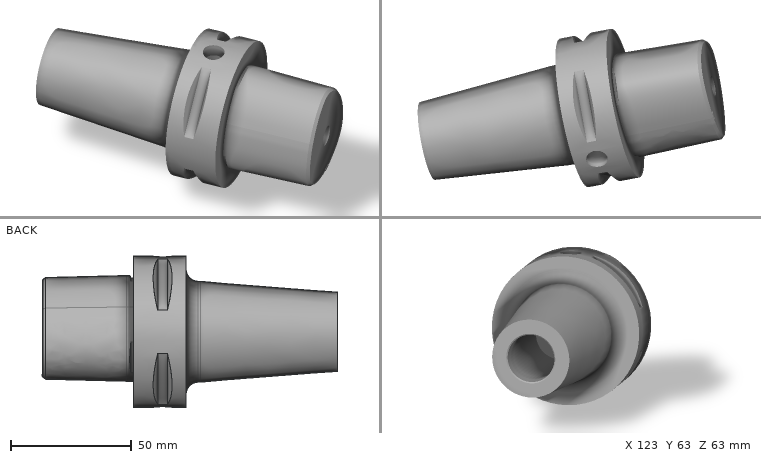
import cadquery as cq
import math


nose_length = 63.0
flange_width = 22.0
total_length = 123.0
pad_thickness = 0.25
flange_back = nose_length + flange_width
shank_end = total_length - pad_thickness

flange_radius = 63.0 / 2
nose_tip_radius = 33.0 / 2
nose_root_radius = 42.0 / 2
nose_fillet = 5.0
nose_collar_length = 1.0
nose_fillet_start = nose_length - nose_fillet
nose_cone_length = nose_fillet_start - nose_collar_length

bore_radius = 20.0 / 2
bore_depth = 52.0
bore_chamfer = 0.5
through_hole_radius = 8.65 / 2

shank_radius = 44.0 / 2
lobe_height = 1.4
lobe_count = 3
seat_length = 1.7
collar_end = 2.8
shank_taper = 1 / 40
end_chamfer_length = 1.3
end_chamfer_depth = 1.0
points_per_lobe = 13

relief_radius = 22.4
relief_length = 1.0
relief_slope_length = 0.7

notch_center = nose_length + 9.8
notch_floor_distance = 27.7
notch_floor_width = 4.0
notch_wall_angle = 27.0
notch_positions = (45, 135, 225, 315)
hole_radius = 9.0 / 2
hole_depth = 6.0
drill_point_angle = 118.0
hole_positions = (0, 180)

pad_width = 3.7
pad_height = 0.8
pad_offset = 18.1


def make_nose_and_flange():
    """Tapered nose, filleted into the cylindrical flange."""
    arc_inset = nose_fillet * math.sin(math.radians(45))
    arc_center_radius = nose_root_radius + nose_fillet
    profile = (
        cq.Workplane("XY")
        .lineTo(0, nose_tip_radius)
        .lineTo(nose_cone_length, nose_root_radius)
        .lineTo(nose_fillet_start, nose_root_radius)
        .threePointArc(
            (nose_fillet_start + arc_inset, arc_center_radius - arc_inset),
            (nose_length, arc_center_radius),
        )
        .lineTo(nose_length, flange_radius)
        .lineTo(flange_back, flange_radius)
        .lineTo(flange_back, 0)
        .close()
    )
    return profile.revolve(360, (0, 0, 0), (1, 0, 0))


def lobe_point(x, radius, angle):
    """Point of the polygon outline; angle is the normal direction from +Z toward +Y."""
    reach = radius + lobe_height * math.cos(lobe_count * angle)
    slope = -lobe_count * lobe_height * math.sin(lobe_count * angle)
    y = reach * math.sin(angle) + slope * math.cos(angle)
    z = reach * math.cos(angle) - slope * math.sin(angle)
    return cq.Vector(x, y, z)


def polygon_section(x, radius):
    """Closed three-lobed wire, split at the middle of each flat side."""
    lobe_span = 2 * math.pi / lobe_count
    edges = []
    for lobe in range(lobe_count):
        start = (lobe - 0.5) * lobe_span
        angles = [start + lobe_span * i / (points_per_lobe - 1) for i in range(points_per_lobe)]
        points = [lobe_point(x, radius, angle) for angle in angles]
        tangents = [cq.Vector(0, math.cos(a), -math.sin(a)) for a in (angles[0], angles[-1])]
        edges.append(cq.Edge.makeSpline(points, tangents=tangents))
    return cq.Wire.assembleEdges(edges)


def make_shank():
    """Polygon shank: straight seat, slow taper and an end chamfer."""
    chamfer_start = shank_end - end_chamfer_length
    chamfer_radius = shank_radius - shank_taper * (chamfer_start - flange_back - collar_end)
    sections = [
        polygon_section(flange_back, shank_radius),
        polygon_section(flange_back + seat_length, shank_radius),
        polygon_section(flange_back + collar_end, shank_radius),
        polygon_section(chamfer_start, chamfer_radius),
        polygon_section(shank_end, chamfer_radius - end_chamfer_depth),
    ]
    return cq.Workplane(cq.Solid.makeLoft(sections, ruled=True))


def make_lobe_relief():
    """Ring that trims the lobe tips to a cylinder beside the flange, with a sloped exit."""
    outer_radius = flange_radius
    slope_start = flange_back + relief_length
    slope_end = slope_start + relief_slope_length
    profile = cq.Workplane("XY").polyline([
        (flange_back, relief_radius),
        (slope_start, relief_radius),
        (slope_end, relief_radius + lobe_height),
        (slope_end, outer_radius),
        (flange_back, outer_radius),
    ]).close()
    return profile.revolve(360, (0, 0, 0), (1, 0, 0))


def make_bores():
    """Chamfered tool bore from the nose and the narrow hole through the holder."""
    mouth = bore_radius + bore_chamfer
    profile = cq.Workplane("XY").polyline([
        (0, 0),
        (0, mouth),
        (bore_chamfer, bore_radius),
        (bore_depth, bore_radius),
        (bore_depth, through_hole_radius),
        (shank_end, through_hole_radius),
        (shank_end, 0),
    ]).close()
    return profile.revolve(360, (0, 0, 0), (1, 0, 0))


def make_notch(angle):
    """Straight notch with sloping walls across the flange rim, turned about X."""
    depth = flange_radius - notch_floor_distance
    spread = depth * math.tan(math.radians(notch_wall_angle))
    half_floor = notch_floor_width / 2
    notch = (
        cq.Workplane("XZ", origin=(notch_center, 0, 0))
        .polyline([
            (-half_floor, notch_floor_distance),
            (half_floor, notch_floor_distance),
            (half_floor + spread, flange_radius),
            (-half_floor - spread, flange_radius),
        ])
        .close()
        .extrude(flange_radius, both=True)
    )
    return notch.rotate((0, 0, 0), (1, 0, 0), angle)


def make_orientation_hole(angle):
    """Radial drilled hole with a conical bottom, turned about X."""
    point_length = hole_radius / math.tan(math.radians(drill_point_angle / 2))
    shoulder = flange_radius - hole_depth
    drill = (
        cq.Workplane("XZ", origin=(notch_center, 0, 0))
        .polyline([
            (0, shoulder - point_length),
            (hole_radius, shoulder),
            (hole_radius, flange_radius),
            (0, flange_radius),
        ])
        .close()
        .revolve(360, (0, 0, 0), (0, 1, 0))
    )
    return drill.rotate((0, 0, 0), (1, 0, 0), angle)


def make_end_pad():
    """Thin pad standing on the shank end face."""
    return (
        cq.Workplane("YZ", origin=(shank_end, 0, -pad_offset))
        .rect(pad_width, pad_height)
        .extrude(pad_thickness)
    )


result = make_nose_and_flange().union(make_shank().cut(make_lobe_relief()))
result = result.cut(make_bores())
for notch_angle in notch_positions:
    result = result.cut(make_notch(notch_angle))
for hole_angle in hole_positions:
    result = result.cut(make_orientation_hole(hole_angle))
result = result.union(make_end_pad())